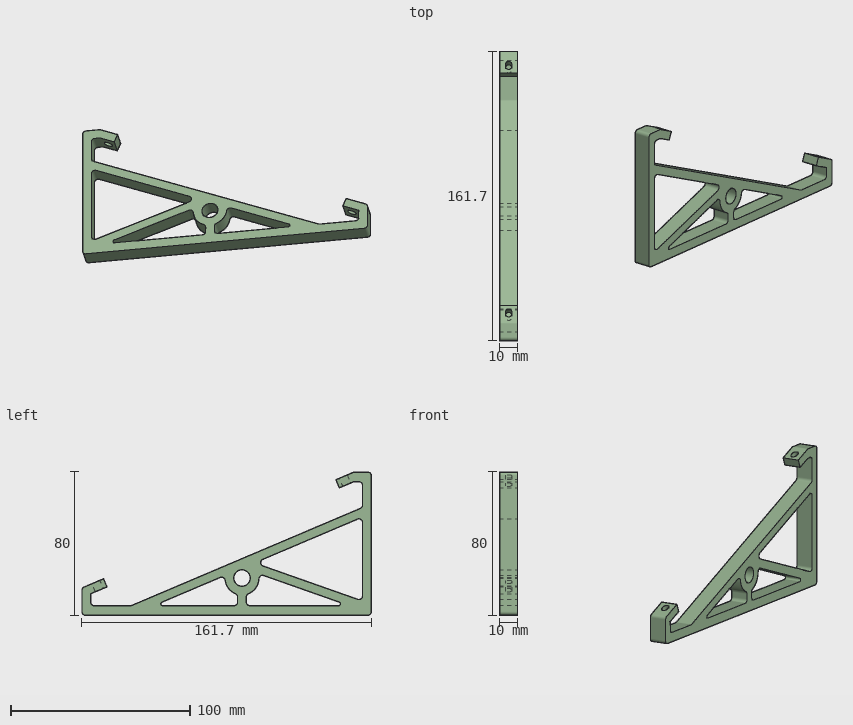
import cadquery as cq
import math

length = 161.7
height = 80.0
thickness = 10.0

slope = math.radians(23)
wall = 5.0
plate = wall / math.cos(slope)
diagonal_start = 27.5
brace_slope = math.radians(19.4)
brace_foot = 8.1
corner_radius = 2.0
tip_radius = 1.0

hook_height = 15.4
low_lip_run = 12.1
top_bend = 151.8
high_lip_run = 10.0
lip_hole_width = 3.5
lip_hole_length = 4.8
low_hole_place = 7.8
high_hole_place = 146.0

hub_place = 89.4
hub_height = 20.9
bore_diameter = 9.0
hub_radius = bore_diameter / 2 + wall

rise = math.tan(slope)
brace_rise = math.tan(brace_slope)
inner_end = length - wall
brace_plate = wall / math.cos(brace_slope)

side_plane = cq.Plane(origin=(thickness / 2, length / 2, 0), xDir=(0, -1, 0), normal=(-1, 0, 0))


def diagonal_top(place):
    return plate + (place - diagonal_start) * rise


def diagonal_bottom(place):
    return diagonal_top(place) - plate


def brace_top(place):
    return brace_foot + (inner_end - place) * brace_rise


def brace_bottom(place):
    return brace_top(place) - brace_plate


def prism(points):
    return cq.Workplane(side_plane).polyline(points).close().extrude(thickness)


def cylinder(radius):
    return cq.Workplane(side_plane).center(hub_place, hub_height).circle(radius).extrude(thickness)


def round_edges(body, points, radius):
    """Round the edges across the thickness that pass through the given profile points."""
    for point in points:
        edge_middle = side_plane.toWorldCoords((*point, thickness / 2))
        body = body.edges("|X").edges(cq.selectors.NearestToPointSelector(edge_middle.toTuple()))
        body = body.fillet(radius)
    return body


def make_outline():
    low_lip_outer = (low_lip_run, hook_height + low_lip_run * rise)
    high_lip_outer = (top_bend - high_lip_run, height - high_lip_run * rise)
    across = (wall * math.sin(slope), -wall * math.cos(slope))
    low_lip_inner = (low_lip_outer[0] + across[0], low_lip_outer[1] + across[1])
    high_lip_inner = (high_lip_outer[0] + across[0], high_lip_outer[1] + across[1])
    rounded = [
        (0, 0),
        (length, 0),
        (length, height),
        (top_bend, height),
        (top_bend, height - plate),
        (inner_end, height - plate),
        (inner_end, diagonal_top(inner_end)),
        (diagonal_start, plate),
        (wall, plate),
        (0, hook_height),
    ]
    low_lip_root = (wall, hook_height + wall * rise - plate)
    points = (
        rounded[:4]
        + [high_lip_outer, high_lip_inner]
        + rounded[4:9]
        + [low_lip_root, low_lip_inner, low_lip_outer]
        + rounded[9:]
    )
    return round_edges(prism(points), rounded, corner_radius)


def make_upper_pocket():
    apex = (brace_foot + inner_end * brace_rise + diagonal_start * rise) / (rise + brace_rise)
    corners = [
        (apex, brace_top(apex)),
        (inner_end, brace_foot),
        (inner_end, diagonal_bottom(inner_end)),
    ]
    return prism(corners).edges("|X").fillet(corner_radius)


def make_lower_pocket(tip, face, edge_height):
    """Pocket from a sharp tip on the base to a post face, trimmed by the hub."""
    tip_point = (tip, plate)
    body = prism([tip_point, (face, plate), (face, edge_height(face))]).cut(cylinder(hub_radius))
    body = cq.Workplane(max(body.solids().vals(), key=lambda piece: piece.Volume()))
    body = round_edges(body, [tip_point], tip_radius)
    tip_end = side_plane.toWorldCoords((tip, plate, 0)).y
    wide_edges = [
        edge for edge in body.edges("|X").vals()
        if abs(edge.Center().y - tip_end) > length / 10
    ]
    return body.newObject(wide_edges).fillet(corner_radius)


def make_lip_hole(place, face_height):
    """Slot through a lip, square to its sloping face."""
    center = side_plane.toWorldCoords((place, face_height, thickness / 2))
    face = cq.Plane(
        origin=center.toTuple(),
        xDir=(0, -math.cos(slope), math.sin(slope)),
        normal=(0, math.sin(slope), math.cos(slope)),
    )
    return cq.Workplane(face).slot2D(lip_hole_length, lip_hole_width).extrude(1.5 * wall, both=True)


left_tip = diagonal_start + plate / rise
right_tip = inner_end + (brace_foot - brace_plate - plate) / brace_rise

result = (
    make_outline()
    .cut(make_upper_pocket())
    .cut(make_lower_pocket(left_tip, hub_place - wall / 2, diagonal_bottom))
    .cut(make_lower_pocket(right_tip, hub_place + wall / 2, brace_bottom))
    .cut(cylinder(bore_diameter / 2))
    .cut(make_lip_hole(low_hole_place, hook_height + low_hole_place * rise))
    .cut(make_lip_hole(high_hole_place, height - (top_bend - high_hole_place) * rise))
)